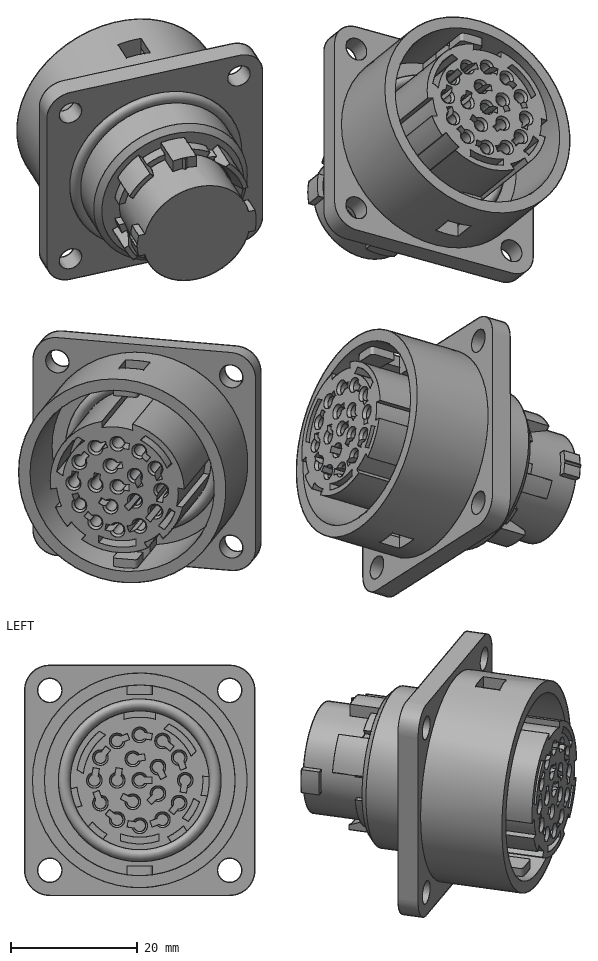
import cadquery as cq
import math


SHELL_FRONT = 3.0
FLANGE_FRONT = 16.6
FLANGE_BACK = 20.0
BODY_BACK = 28.1
COLLAR_BACK = 30.0
TOOTH_BACK = 33.5
LUG_FRONT = 36.0
CORE_BACK = 39.0

FLANGE_SIDE = 36.5
FLANGE_CORNER_RADIUS = 4.0
MOUNT_HOLE_DIAMETER = 3.8

SHELL_RADIUS = 17.0
CAVITY_RADIUS = 15.1
BODY_RADIUS = 13.0
BODY_CHAMFER = 1.0
INSERT_RADIUS = 11.0
CORE_RADIUS = 9.0
COLLAR_RADIUS = 10.0

CORD_RADIUS = 0.95
FLANGE_SEAL_OUTER_RADIUS = 14.5
FLANGE_SEAL_RADIUS = FLANGE_SEAL_OUTER_RADIUS - CORD_RADIUS
FLANGE_SEAL_OFFSET = 0.45
FLANGE_SEAL_X = FLANGE_BACK + FLANGE_SEAL_OFFSET
CAVITY_SEAL_RADIUS = INSERT_RADIUS + CORD_RADIUS

WINDOW_WIDTH = 4.0
WINDOW_FRONT_RIGHT = 8.75
WINDOW_FRONT_LEFT = 8.45
WINDOW_BACK = 12.55
BLOCK_INNER_RADIUS = 13.6
BLOCK_FRONT = 4.6
BLOCK_CORNER_RADIUS = 0.5

KEYWAYS = [(90, 5.05), (-15, 3.05), (-50, 3.05), (-125, 3.05), (-175, 3.05)]
KEYWAY_FLOOR_RADIUS = 10.0

TEETH = [(135, 4.95, 0, 6.1), (-90, 5.1, 0, 6.1), (30, 6.17, 9, 7.05), (-150, 3.1, 6, 3.55)]
SLOT_OUTER_RADIUS = 10.07
SLOT_DEPTH = 8.0
TOOTH_RADIUS = 11.0
TOOTH_INNER_RADIUS = 9.2
TOOTH_TIP_INNER_RADIUS = 10.2
TOOTH_TAPER_START = 30.8

RAMPED_GAP = (46, 56)
COLLAR_GAPS = [RAMPED_GAP, (-142, -124)]
RAMP_FOOT_ANGLE = 42

KEY_WIDTH = 4.0
POINT_WIDTH = 0.8
POINT_HEIGHT = 0.4
LUG_RADIUS = 10.05
LUG_RIDGE_RADIUS = 10.35
LUG_RIDGE_WIDTH = 0.6

OUTER_CONTACTS = 12
OUTER_CONTACT_RADIUS = 7.2
INNER_CONTACTS = 5
INNER_CONTACT_RADIUS = 3.57
CONTACT_RADIUS = 0.92
CONTACT_MOUTH_RADIUS = 1.23
CONTACT_MOUTH_DEPTH = 0.55
CONTACT_DEPTH = 8.0
CONTACT_SLOT_WIDTH = 1.02
CONTACT_SLOT_REACH = 1.95
CONTACT_SLOT_TURN = 99
CENTER_SLOT_ANGLE = 180


def polar(radius, angle):
    turn = math.radians(angle)
    return radius * math.cos(turn), radius * math.sin(turn)


def turned(solid, angle):
    return solid.rotate((0, 0, 0), (1, 0, 0), angle)


def cylinder(x_start, x_end, radius):
    return cq.Workplane("YZ", origin=(x_start, 0, 0)).circle(radius).extrude(x_end - x_start)


def tube(x_start, x_end, inner, outer):
    profile = cq.Workplane("YZ", origin=(x_start, 0, 0)).circle(outer).circle(inner)
    return profile.extrude(x_end - x_start)


def bar(x_start, x_end, reach, width):
    """Bar from the axis out to a radius in the +Y direction."""
    solid = cq.Workplane("XY").box(x_end - x_start, reach, width, centered=False)
    return solid.translate((x_start, 0, -width / 2))


def ring_segment(x_start, x_end, inner, outer, width, angle):
    """Part of a tube cut out by two parallel sides."""
    segment = tube(x_start, x_end, inner, outer).intersect(bar(x_start, x_end, 2 * outer, width))
    return turned(segment, angle)


def sealing_ring(x, radius):
    cord = cq.Workplane("XY").center(x, radius).circle(CORD_RADIUS)
    return cord.revolve(360, (0, -radius, 0), (1, -radius, 0))


def swept_profile(points, start_angle, end_angle):
    """Profile of (x, radius) points turned about the axis between two angles."""
    profile = cq.Workplane("XY").polyline(points).close()
    return turned(profile.revolve(end_angle - start_angle, (0, 0, 0), (1, 0, 0)), start_angle)


def make_flange():
    hole_spacing = FLANGE_SIDE - 2 * FLANGE_CORNER_RADIUS
    return (
        cq.Workplane("YZ", origin=(FLANGE_FRONT, 0, 0))
        .rect(FLANGE_SIDE, FLANGE_SIDE)
        .extrude(FLANGE_BACK - FLANGE_FRONT)
        .edges("|X")
        .fillet(FLANGE_CORNER_RADIUS)
        .faces("<X")
        .workplane(centerOption="CenterOfBoundBox")
        .rect(hole_spacing, hole_spacing, forConstruction=True)
        .vertices()
        .hole(MOUNT_HOLE_DIAMETER)
    )


def make_window():
    half = WINDOW_WIDTH / 2
    outline = [
        (WINDOW_FRONT_LEFT, half),
        (WINDOW_BACK, half),
        (WINDOW_BACK, -half),
        (WINDOW_FRONT_RIGHT, -half),
    ]
    depth = SHELL_RADIUS - BLOCK_INNER_RADIUS
    return cq.Workplane("XY", origin=(0, 0, BLOCK_INNER_RADIUS)).polyline(outline).close().extrude(depth)


def make_guide_block():
    middle_radius = (CAVITY_RADIUS + SHELL_RADIUS) / 2
    block = (
        cq.Workplane("XY", origin=(BLOCK_FRONT, 0, BLOCK_INNER_RADIUS))
        .box(
            FLANGE_FRONT - BLOCK_FRONT,
            WINDOW_WIDTH,
            middle_radius - BLOCK_INNER_RADIUS,
            centered=(False, True, False),
        )
        .edges("|Z and <X")
        .fillet(BLOCK_CORNER_RADIUS)
    )
    return block.intersect(cylinder(0, FLANGE_FRONT, middle_radius))


def make_shell():
    shell = tube(SHELL_FRONT, FLANGE_FRONT, CAVITY_RADIUS, SHELL_RADIUS)
    for angle in (0, 180):
        shell = shell.union(turned(make_guide_block(), angle))
        shell = shell.cut(turned(make_window(), angle))
    return shell


def make_insert():
    insert = cylinder(0, FLANGE_FRONT, INSERT_RADIUS)
    for angle, width in KEYWAYS:
        keyway = ring_segment(0, FLANGE_FRONT, KEYWAY_FLOOR_RADIUS, SHELL_RADIUS, width, angle)
        insert = insert.cut(keyway)
    for angle, _, _, width in TEETH:
        insert = insert.cut(ring_segment(0, SLOT_DEPTH, CORE_RADIUS, SLOT_OUTER_RADIUS, width, angle))
    return insert


def make_contact_hole(radius, angle, slot_angle):
    hole = cylinder(0, CONTACT_DEPTH, CONTACT_RADIUS)
    mouth = [
        (0, 0),
        (CONTACT_MOUTH_DEPTH, 0),
        (CONTACT_MOUTH_DEPTH, CONTACT_RADIUS),
        (0, CONTACT_MOUTH_RADIUS),
    ]
    hole = hole.union(swept_profile(mouth, 0, 360))
    slot = bar(0, CONTACT_DEPTH, CONTACT_SLOT_REACH, CONTACT_SLOT_WIDTH)
    hole = hole.union(turned(slot, slot_angle))
    return hole.translate((0, *polar(radius, angle)))


def contact_holes():
    holes = [make_contact_hole(0, 0, CENTER_SLOT_ANGLE)]
    rings = [(OUTER_CONTACTS, OUTER_CONTACT_RADIUS), (INNER_CONTACTS, INNER_CONTACT_RADIUS)]
    for count, radius in rings:
        for index in range(count):
            angle = index * 360 / count
            holes.append(make_contact_hole(radius, angle, angle + CONTACT_SLOT_TURN))
    return holes


def make_tooth(angle, width, lean):
    profile = [
        (BODY_BACK, CORE_RADIUS),
        (COLLAR_BACK, CORE_RADIUS),
        (COLLAR_BACK, TOOTH_INNER_RADIUS),
        (TOOTH_TAPER_START, TOOTH_INNER_RADIUS),
        (TOOTH_BACK, TOOTH_TIP_INNER_RADIUS),
        (TOOTH_BACK, TOOTH_RADIUS),
        (BODY_BACK, TOOTH_RADIUS),
    ]
    half = width / 2
    side_radius = math.sqrt(TOOTH_RADIUS**2 - half**2)
    inner_half = half - side_radius * math.tan(math.radians(lean))
    outer_half = half + (TOOTH_RADIUS - side_radius) * math.tan(math.radians(lean))
    sides = [
        (0, inner_half),
        (TOOTH_RADIUS, outer_half),
        (TOOTH_RADIUS, -outer_half),
        (0, -inner_half),
    ]
    sector = cq.Workplane("YZ", origin=(BODY_BACK, 0, 0)).polyline(sides).close()
    tooth = swept_profile(profile, 0, 360).intersect(sector.extrude(TOOTH_BACK - BODY_BACK))
    return turned(tooth, angle)


def make_collar():
    collar = tube(BODY_BACK, COLLAR_BACK, CORE_RADIUS, COLLAR_RADIUS)
    for start, end in COLLAR_GAPS:
        gap = [
            (BODY_BACK, CORE_RADIUS),
            (COLLAR_BACK, CORE_RADIUS),
            (COLLAR_BACK, TOOTH_RADIUS),
            (BODY_BACK, TOOTH_RADIUS),
        ]
        collar = collar.cut(swept_profile(gap, start, end))
    ramp_top, ramp_end = RAMPED_GAP
    ramp_outline = [
        polar(CORE_RADIUS, ramp_end),
        polar(COLLAR_RADIUS, ramp_top),
        polar(CORE_RADIUS, RAMP_FOOT_ANGLE),
    ]
    ramp = cq.Workplane("YZ", origin=(BODY_BACK, 0, 0)).polyline(ramp_outline).close()
    collar = collar.union(ramp.extrude(COLLAR_BACK - BODY_BACK))
    for angle in (0, 180):
        lug_path = ring_segment(BODY_BACK, COLLAR_BACK, CORE_RADIUS, TOOTH_RADIUS, KEY_WIDTH, angle)
        collar = collar.cut(lug_path)
    return collar


def make_key():
    key = ring_segment(BODY_BACK, TOOTH_BACK, CORE_RADIUS, TOOTH_RADIUS, KEY_WIDTH, 90)
    outline = [
        (TOOTH_BACK, POINT_WIDTH / 2),
        (TOOTH_BACK + POINT_HEIGHT, 0),
        (TOOTH_BACK, -POINT_WIDTH / 2),
    ]
    point = cq.Workplane("XY").polyline(outline).close().extrude(TOOTH_RADIUS)
    return key.union(point)


def make_lugs():
    length = CORE_BACK - LUG_FRONT
    left = ring_segment(LUG_FRONT, CORE_BACK, CORE_RADIUS, LUG_RADIUS, KEY_WIDTH, 0)
    right = ring_segment(LUG_FRONT, CORE_BACK, CORE_RADIUS, LUG_RADIUS, KEY_WIDTH, 180)
    ridge_outline = [
        (-CORE_RADIUS, LUG_RIDGE_WIDTH / 2),
        (-LUG_RADIUS, LUG_RIDGE_WIDTH / 2),
        (-LUG_RIDGE_RADIUS, 0),
        (-LUG_RADIUS, -LUG_RIDGE_WIDTH / 2),
        (-CORE_RADIUS, -LUG_RIDGE_WIDTH / 2),
    ]
    ridge = cq.Workplane("YZ", origin=(LUG_FRONT, 0, 0)).polyline(ridge_outline).close().extrude(length)
    return left.union(right).union(ridge)


def make_back():
    back = cylinder(FLANGE_BACK, BODY_BACK, BODY_RADIUS).faces(">X").chamfer(BODY_CHAMFER)
    back = back.union(cylinder(BODY_BACK, CORE_BACK, CORE_RADIUS))
    back = back.union(make_collar()).union(make_key()).union(make_lugs())
    for angle, width, lean, _ in TEETH:
        back = back.union(make_tooth(angle, width, lean))
    return back


result = make_flange().union(make_shell()).union(make_insert()).union(make_back())
result = result.union(sealing_ring(FLANGE_FRONT, CAVITY_SEAL_RADIUS))
result = result.union(sealing_ring(FLANGE_SEAL_X, FLANGE_SEAL_RADIUS))
for contact_hole in contact_holes():
    result = result.cut(contact_hole)